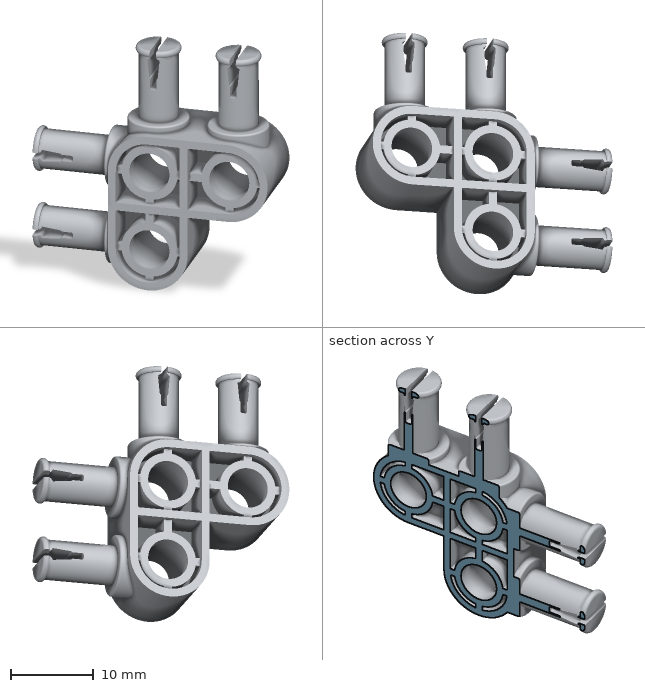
import cadquery as cq
import math

pitch = 10.0
body_depth = 10.0
body_radius = 5.0
wall = 1.0
web_thickness = 1.0

hole_diameter = 5.0
tube_diameter = 7.0
tube_recess = 0.8
rib_width = 1.0

pins_per_side = 2
pin_tip = 15.13
pin_diameter = 4.88
collar_top = 5.85
collar_diameter = 7.5
collar_fillet = 0.25
head_diameter = 5.55
head_length = 0.75
head_face_diameter = 4.8
head_shoulder_diameter = 5.4
head_shoulder_depth = 0.2
head_bulge_depth = 0.45
head_back_diameter = 5.3

slot_mouth_width = 0.8
slot_wide_width = 1.5
slot_taper_width = 1.05
slot_end_width = 0.8
slot_mouth_depth = 0.95
slot_wide_depth = 1.2
slot_ramp_depth = 3.5
slot_ramp_length = 0.15
slot_depth = 5.05
slot_end_fillet = 0.2

hole_centers = [(0, 0), (pitch, 0), (0, -pitch)]
pocket_radius = body_radius - wall
tube_length = body_depth - 2 * tube_recess


def through_plate(thickness):
    """XZ workplane whose extrusions of the given thickness are centred on Y = 0."""
    return cq.Workplane("XZ", origin=(0, thickness / 2, 0))


def stadium(end, radius):
    """Full-depth, round-ended plate from the corner hole to the hole at `end`."""
    x, z = end
    length = math.hypot(x, z) + 2 * radius
    angle = math.degrees(math.atan2(z, x))
    plate = through_plate(body_depth).center(x / 2, z / 2)
    return plate.slot2D(length, radius * 2, angle).extrude(body_depth)


def make_outline(radius):
    """Full-depth L that follows the three holes at the given radius."""
    return stadium((pitch, 0), radius).union(stadium((0, -pitch), radius))


def box(x_min, x_max, z_min, z_max, depth=body_depth):
    """Box between the given X and Z limits, centred on Y = 0."""
    size_x = x_max - x_min
    size_z = z_max - z_min
    center = ((x_min + x_max) / 2, 0, (z_min + z_max) / 2)
    return cq.Workplane("XY", origin=center).box(size_x, depth, size_z)


def make_cells():
    """Full-depth room inside the walls: the rounded inside of the outer wall minus the dividing walls."""
    room = make_outline(pocket_radius)
    corner_square = box(0, pocket_radius, -pocket_radius, 0)
    divider_x = box(pocket_radius, pocket_radius + wall, -body_radius, body_radius)
    divider_z = box(-body_radius, body_radius, -pocket_radius - wall, -pocket_radius)
    return room.union(corner_square).cut(divider_x).cut(divider_z)


def make_tubes(cells):
    """Tubes around the holes, each held by a cross of four ribs that reach the cell walls."""
    tubes = cq.Workplane("XY")
    reach = 2 * body_radius
    for x, z in hole_centers:
        tube = through_plate(tube_length).center(x, z).circle(tube_diameter / 2).extrude(tube_length)
        for size in [(reach, rib_width), (rib_width, reach)]:
            rib = through_plate(tube_length).center(x, z).rect(*size).extrude(tube_length)
            tube = tube.union(rib)
        tubes = tubes.union(tube)
    return tubes.intersect(cells)


def pin_slot():
    """Cutter for the slot of a pin along +Z, open through Y."""
    half_mouth = slot_mouth_width / 2
    half_wide = slot_wide_width / 2
    half_taper = slot_taper_width / 2
    half_end = slot_end_width / 2
    mouth_z = pin_tip - slot_mouth_depth
    wide_z = pin_tip - slot_wide_depth
    ramp_z = pin_tip - slot_ramp_depth
    ramp_end_z = ramp_z - slot_ramp_length
    end_z = pin_tip - slot_depth
    return (
        through_plate(collar_diameter)
        .moveTo(half_mouth, pin_tip)
        .lineTo(half_mouth, mouth_z)
        .lineTo(half_wide, wide_z)
        .lineTo(half_taper, ramp_z)
        .lineTo(half_end, ramp_end_z)
        .lineTo(half_end, end_z)
        .lineTo(-half_end, end_z)
        .lineTo(-half_end, ramp_end_z)
        .lineTo(-half_taper, ramp_z)
        .lineTo(-half_wide, wide_z)
        .lineTo(-half_mouth, mouth_z)
        .lineTo(-half_mouth, pin_tip)
        .close()
        .extrude(collar_diameter)
        .edges("|Y and <Z")
        .fillet(slot_end_fillet)
    )


def make_head():
    """Rounded retaining head at the tip of a pin along +Z."""
    back_z = pin_tip - head_length
    shoulder = (head_shoulder_diameter / 2, pin_tip - head_shoulder_depth)
    return (
        cq.Workplane("XZ")
        .moveTo(0, back_z)
        .lineTo(0, pin_tip)
        .lineTo(head_face_diameter / 2, pin_tip)
        .tangentArcPoint(shoulder, relative=False)
        .threePointArc((head_diameter / 2, pin_tip - head_bulge_depth), (head_back_diameter / 2, back_z))
        .close()
        .revolve(360, (0, 0, 0), (0, 1, 0))
    )


def make_pin():
    """Collared pin along +Z, rising from the centre of a hole."""
    collar = cq.Workplane("XY").circle(collar_diameter / 2).extrude(collar_top)
    collar = collar.faces(">Z").edges().fillet(collar_fillet)
    shaft = cq.Workplane("XY").circle(pin_diameter / 2).extrude(pin_tip - head_length)
    return collar.union(shaft).union(make_head()).cut(pin_slot())


upright_pin = make_pin()
sideways_pin = upright_pin.rotate((0, 0, 0), (0, 1, 0), -90)
body = make_outline(body_radius)
for step in range(pins_per_side):
    body = body.union(upright_pin.translate((step * pitch, 0, 0)))
    body = body.union(sideways_pin.translate((0, 0, -step * pitch)))

cells = make_cells()
web = box(-body_radius, pitch + body_radius, -pitch - body_radius, body_radius, web_thickness)
body = body.cut(cells.cut(web)).union(make_tubes(cells))

holes = through_plate(body_depth).pushPoints(hole_centers).circle(hole_diameter / 2).extrude(body_depth)
result = body.cut(holes)